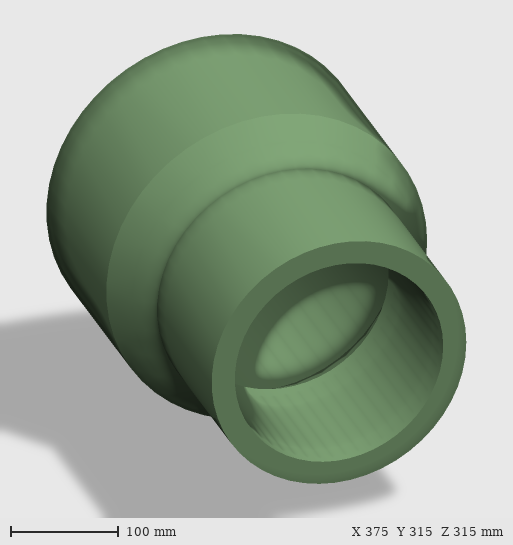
import cadquery as cq

large_outer_diameter = 315.0
large_bore_diameter = 257.8
small_outer_diameter = 250.0
small_bore_diameter = 204.6

large_end_length = 170.0
taper_length = 50.0
total_length = 375.0

taper_start = large_end_length
taper_end = taper_start + taper_length


def stepped_cone(large_diameter, small_diameter):
    """Solid of revolution about X: large cylinder, taper, small cylinder."""
    large_radius = large_diameter / 2
    small_radius = small_diameter / 2
    return (
        cq.Workplane("XY")
        .moveTo(0, 0)
        .lineTo(0, large_radius)
        .lineTo(taper_start, large_radius)
        .lineTo(taper_end, small_radius)
        .lineTo(total_length, small_radius)
        .lineTo(total_length, 0)
        .close()
        .revolve(360, (0, 0, 0), (1, 0, 0))
    )


body = stepped_cone(large_outer_diameter, small_outer_diameter)
bore = stepped_cone(large_bore_diameter, small_bore_diameter)

result = body.cut(bore)